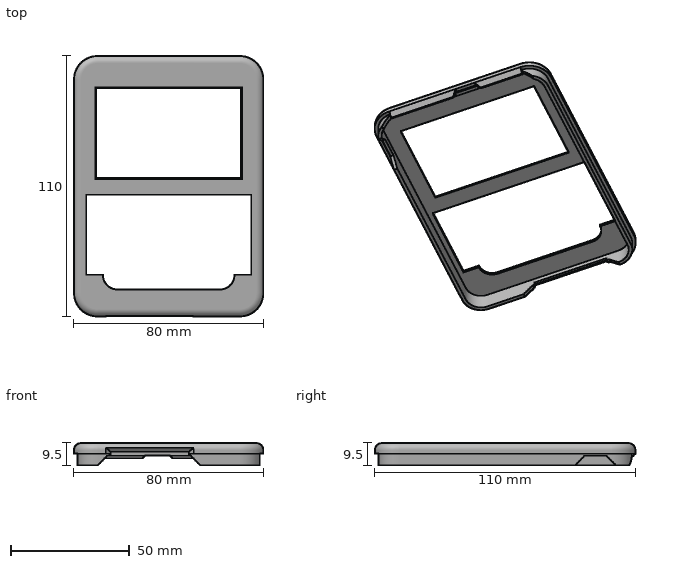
import cadquery as cq

LENGTH_X = 80.0
LENGTH_Y = 110.0
HEIGHT = 9.5
CORNER_RADIUS = 10.0
TOP_FILLET = 3.0
PLATE_THICKNESS = 1.3

SKIRT_HEIGHT = 5.0
SKIRT_INSET = 1.5
SKIRT_WALL = 1.5
SKIRT_INNER_Y = LENGTH_Y / 2 - SKIRT_INSET - SKIRT_WALL

UPPER_HALF_X = 31.0
UPPER_FRONT_Y = 3.0
UPPER_BACK_Y = 41.8
UPPER_CHAMFER = 0.5

LOWER_HALF_X = 34.75
LOWER_FRONT_Y = -37.3
LOWER_BACK_Y = -3.65
EXTENSION_HALF_X = 27.7
EXTENSION_FRONT_Y = -43.5
EXTENSION_RADIUS = 6.0

NOTCH_TOP_Z = 4.2
FRONT_NOTCH_X = -8.3
FRONT_NOTCH_HALF = 21.7
BACK_NOTCH_X = 0.0
BACK_NOTCH_HALF = 34.35
RIGHT_NOTCH_Y = 38.1
RIGHT_NOTCH_HALF = 8.7

OPENING_X = -8.0
OPENING_HALF = 16.5
OPENING_TOP_Z = 5.7
FLARE_DEPTH = 2.0

TAB_BOTTOM_Z = 3.0
TAB_INNER_Y = 52.5
TAB_HALF_SPAN = 30.0
TAB_GAP_X = -4.7
TAB_GAP_HALF = 6.3


def block(x_min, x_max, y_min, y_max, z_min, z_max):
    size = (x_max - x_min, y_max - y_min, z_max - z_min)
    return cq.Workplane("XY").box(*size, centered=False).translate((x_min, y_min, z_min))


def rounded_block(inset, z_min, z_max):
    half_x = LENGTH_X / 2 - inset
    half_y = LENGTH_Y / 2 - inset
    body = block(-half_x, half_x, -half_y, half_y, z_min, z_max)
    return body.edges("|Z").fillet(CORNER_RADIUS - inset)


def shell():
    rim = rounded_block(0, SKIRT_HEIGHT, HEIGHT).faces(">Z").edges().fillet(TOP_FILLET)
    skirt = rounded_block(SKIRT_INSET, 0, SKIRT_HEIGHT)
    cavity = rounded_block(SKIRT_INSET + SKIRT_WALL, 0, HEIGHT - PLATE_THICKNESS)
    return rim.union(skirt).cut(cavity)


def upper_window():
    width = 2 * UPPER_HALF_X
    depth = UPPER_BACK_Y - UPPER_FRONT_Y
    center_y = (UPPER_BACK_Y + UPPER_FRONT_Y) / 2
    chamfer_z = HEIGHT - UPPER_CHAMFER
    inner_half_x = UPPER_HALF_X - UPPER_CHAMFER
    inner_half_y = depth / 2 - UPPER_CHAMFER
    opening = block(
        -inner_half_x, inner_half_x,
        center_y - inner_half_y, center_y + inner_half_y,
        HEIGHT - PLATE_THICKNESS, HEIGHT,
    )
    chamfer = (
        cq.Workplane("XY", origin=(0, center_y, chamfer_z))
        .rect(2 * inner_half_x, 2 * inner_half_y)
        .workplane(offset=UPPER_CHAMFER)
        .rect(width, depth)
        .loft(ruled=True)
    )
    return opening.union(chamfer)


def lower_window():
    z_min = HEIGHT - PLATE_THICKNESS
    main = block(-LOWER_HALF_X, LOWER_HALF_X, LOWER_FRONT_Y, LOWER_BACK_Y, z_min, HEIGHT)
    extension = block(
        -EXTENSION_HALF_X, EXTENSION_HALF_X, EXTENSION_FRONT_Y, LOWER_BACK_Y, z_min, HEIGHT
    )
    extension = extension.edges("|Z and <Y").fillet(EXTENSION_RADIUS)
    return main.union(extension)


def trapezoid(center, bottom_half, z_min, z_max):
    """Points of a trapezoid that narrows upwards at 45 degrees."""
    top_half = bottom_half - (z_max - z_min)
    return [
        (center - bottom_half, z_min),
        (center + bottom_half, z_min),
        (center + top_half, z_max),
        (center - top_half, z_max),
    ]


def prism_along_y(points, y_min, y_max):
    start = cq.Workplane("XZ", origin=(0, y_max, 0))
    return start.polyline(points).close().extrude(y_max - y_min)


def front_notch():
    points = trapezoid(FRONT_NOTCH_X, FRONT_NOTCH_HALF, 0, NOTCH_TOP_Z)
    return prism_along_y(points, -LENGTH_Y / 2, -SKIRT_INNER_Y)


def back_notch():
    points = trapezoid(BACK_NOTCH_X, BACK_NOTCH_HALF, 0, NOTCH_TOP_Z)
    return prism_along_y(points, LENGTH_Y / 2 - CORNER_RADIUS, LENGTH_Y / 2)


def right_notch():
    points = trapezoid(RIGHT_NOTCH_Y, RIGHT_NOTCH_HALF, 0, NOTCH_TOP_Z)
    start_x = LENGTH_X / 2 - CORNER_RADIUS
    start = cq.Workplane("YZ", origin=(start_x, 0, 0))
    return start.polyline(points).close().extrude(CORNER_RADIUS)


def connector_opening():
    outer_y = -LENGTH_Y / 2
    opening = block(
        OPENING_X - OPENING_HALF, OPENING_X + OPENING_HALF,
        outer_y, -SKIRT_INNER_Y, NOTCH_TOP_Z, OPENING_TOP_Z,
    )

    def outline(growth):
        half = OPENING_HALF + growth
        top = OPENING_TOP_Z - NOTCH_TOP_Z + growth
        return [(-half, 0), (half, 0), (half, top), (-half, top)]

    flare = (
        cq.Workplane("XZ", origin=(OPENING_X, outer_y + FLARE_DEPTH, NOTCH_TOP_Z))
        .polyline(outline(0)).close()
        .workplane(offset=FLARE_DEPTH)
        .polyline(outline(FLARE_DEPTH)).close()
        .loft(ruled=True)
    )
    return opening.union(flare)


def back_tabs():
    outer_y = LENGTH_Y / 2
    tip_y = outer_y - (SKIRT_HEIGHT - TAB_BOTTOM_Z)
    profile = [
        (TAB_INNER_Y, TAB_BOTTOM_Z),
        (tip_y, TAB_BOTTOM_Z),
        (outer_y, SKIRT_HEIGHT),
        (TAB_INNER_Y, SKIRT_HEIGHT),
    ]
    start = cq.Workplane("YZ", origin=(-TAB_HALF_SPAN, 0, 0))
    tabs = start.polyline(profile).close().extrude(2 * TAB_HALF_SPAN)
    gap = trapezoid(TAB_GAP_X, TAB_GAP_HALF, TAB_BOTTOM_Z, SKIRT_HEIGHT)
    return tabs.cut(prism_along_y(gap, TAB_INNER_Y, outer_y))


result = shell()
for cutter in (
    upper_window(), lower_window(), front_notch(), back_notch(), right_notch(), connector_opening()
):
    result = result.cut(cutter)
result = result.union(back_tabs())